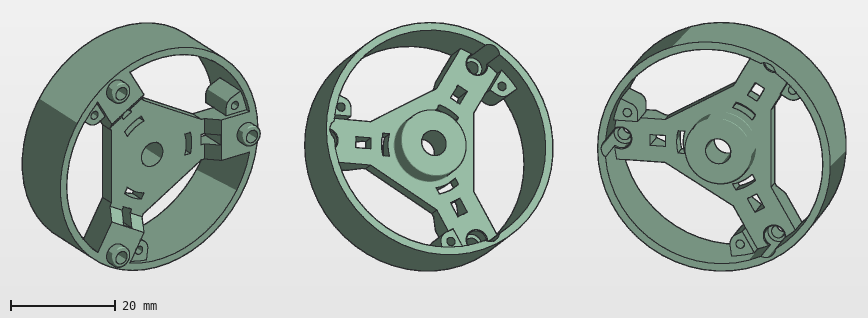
import cadquery as cq
import math


ring_outer_radius = 23.0
ring_inner_radius = 21.5
ring_depth = 13.0
ring_middle_radius = (ring_outer_radius + ring_inner_radius) / 2

arm_count = 3
arm_step = 360.0 / arm_count
plate_front = 7.6
plate_thickness = 3.05
plate_back = plate_front + plate_thickness
arm_half_width = 4.32
web_flat_distance = 9.48

ramp_start = 12.15
ramp_end = ramp_start + ring_depth - plate_back

hub_radius = 6.6
hub_front = 3.45
hub_edge_fillet = 0.2
bore_radius = 2.5

pin_circle_radius = 20.25
pin_radius = 2.1
pin_length = 2.0
pin_end_fillet = 0.4
pin_hole_radius = 1.3
head_pocket_radius = 2.02
pocket_edge_chamfer = 0.2

window_inner = 11.4
window_length = 3.05
window_width = 2.15
arc_slot_inner_radius = 7.9
arc_slot_outer_radius = 9.2
arc_slot_width = 4.45

lug_front = 5.0
lug_length = 7.0
lug_hole_y = 18.3
lug_hole_z = 6.0
lug_hole_radius = 0.85
lug_corner_radius = 2.02
lug_slope = 22.5


def plane_at(x):
    """YZ plane at the given position along the axis."""
    return cq.Workplane("YZ", origin=(x, 0, 0))


def disc(radius, start, end):
    return plane_at(start).circle(radius).extrude(end - start)


def around_arms(shape):
    """Union of one copy of the shape per arm."""
    copies = shape
    for index in range(1, arm_count):
        copies = copies.union(shape.rotate((0, 0, 0), (1, 0, 0), index * arm_step))
    return copies


def make_ring():
    return disc(ring_outer_radius, 0, ring_depth).cut(disc(ring_inner_radius, 0, ring_depth))


def make_arm():
    """One arm from the axis to the ring, with its third of the central web and its thick end."""
    half_step = math.radians(arm_step / 2)
    corner = (web_flat_distance - arm_half_width * math.sin(half_step)) / math.cos(half_step)
    flat_y = web_flat_distance * math.cos(half_step)
    flat_z = web_flat_distance * math.sin(half_step)
    outline = [
        (0, 0),
        (flat_y, flat_z),
        (corner, arm_half_width),
        (ring_outer_radius, arm_half_width),
        (ring_outer_radius, -arm_half_width),
        (corner, -arm_half_width),
        (flat_y, -flat_z),
    ]
    plate = plane_at(plate_front).polyline(outline).close().extrude(plate_thickness)
    thick_end = (
        cq.Workplane("XY")
        .polyline([
            (plate_back, ramp_start),
            (ring_depth, ramp_end),
            (ring_depth, ring_outer_radius),
            (plate_back, ring_outer_radius),
        ])
        .close()
        .extrude(arm_half_width, both=True)
    )
    return plate.union(thick_end).intersect(disc(ring_middle_radius, 0, ring_depth))


def make_lug():
    """Screw lug in the corner between an arm side and the ring, with one rounded corner."""
    slope = math.radians(lug_slope)
    inner_y = lug_hole_y - lug_corner_radius

    def on_corner(angle):
        return (
            lug_hole_y + lug_corner_radius * math.cos(angle),
            lug_hole_z + lug_corner_radius * math.sin(angle),
        )

    tangent_angle = math.pi / 2 + slope
    tangent_y, tangent_z = on_corner(tangent_angle)
    slope_end_z = tangent_z + (ring_outer_radius - tangent_y) * math.tan(slope)
    lug = (
        plane_at(lug_front)
        .moveTo(ring_outer_radius, 0)
        .lineTo(inner_y, 0)
        .lineTo(inner_y, lug_hole_z)
        .threePointArc(on_corner((math.pi + tangent_angle) / 2), (tangent_y, tangent_z))
        .lineTo(ring_outer_radius, slope_end_z)
        .close()
        .extrude(lug_length)
    )
    below_arm_side = cq.Workplane("XY").box(
        ring_depth, ring_outer_radius, arm_half_width, centered=(False, False, False)
    )
    return lug.cut(below_arm_side).intersect(disc(ring_middle_radius, 0, ring_depth))


def make_hub():
    """Hub on the plate front; its two rims are the smallest circles of the stepped blank."""
    plate_patch = disc(arc_slot_inner_radius, plate_front, plate_back)
    blank = disc(hub_radius, hub_front, plate_back).union(plate_patch)
    return blank.edges(cq.selectors.RadiusNthSelector(0)).fillet(hub_edge_fillet)


def make_pin():
    pin = disc(pin_radius, ring_depth, ring_depth + pin_length).faces(">X").edges().fillet(pin_end_fillet)
    return pin.translate((0, pin_circle_radius, 0))


def make_pin_hole():
    """Through hole with a head pocket that also clears the inside of the ring."""
    hole = disc(pin_hole_radius, 0, ring_depth + pin_length)
    pocket = disc(head_pocket_radius, 0, plate_back)
    return hole.union(pocket).translate((0, pin_circle_radius, 0))


def make_pocket_bevel():
    """Cone bevelling the pocket edge on the plate face, kept inside the ring bore."""
    bevel = (
        plane_at(plate_front)
        .center(pin_circle_radius, 0)
        .circle(head_pocket_radius + pocket_edge_chamfer)
        .workplane(offset=pocket_edge_chamfer)
        .circle(head_pocket_radius)
        .loft()
    )
    return bevel.intersect(disc(ring_inner_radius, 0, ring_depth))


def make_arm_windows():
    """Rectangular window and curved slot through one arm."""
    window = (
        plane_at(plate_front)
        .center(window_inner + window_length / 2, 0)
        .rect(window_length, window_width)
        .extrude(ring_depth - plate_front)
    )
    arc_slot = (
        disc(arc_slot_outer_radius, plate_front, plate_back)
        .cut(disc(arc_slot_inner_radius, plate_front, plate_back))
        .intersect(
            plane_at(plate_front)
            .center(arc_slot_outer_radius / 2, 0)
            .rect(arc_slot_outer_radius, arc_slot_width)
            .extrude(plate_thickness)
        )
    )
    return window.union(arc_slot)


def make_lug_hole():
    hole = disc(lug_hole_radius, lug_front, lug_front + lug_length)
    return hole.translate((0, lug_hole_y, lug_hole_z))


body = make_ring().union(make_hub())
for feature in (make_arm(), make_lug(), make_pin()):
    body = body.union(around_arms(feature))
for opening in (make_pin_hole(), make_pocket_bevel(), make_arm_windows(), make_lug_hole()):
    body = body.cut(around_arms(opening))
result = body.cut(disc(bore_radius, 0, ring_depth))